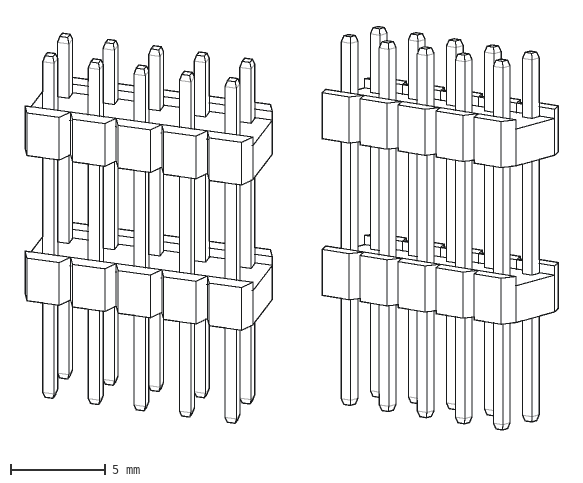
import cadquery as cq

columns = 5
rows = 2
pitch = 2.55

column_positions = [(i - (columns - 1) / 2) * pitch for i in range(columns)]
row_positions = [(j - (rows - 1) / 2) * pitch for j in range(rows)]

pin_length = 20.0
pin_width = 0.65
tip_width = 0.45
tip_height = 0.32

body_length = columns * pitch
body_width = 5.0
body_height = 2.5
floor_width = 3.35
floor_height = 2.0
block_face_length = 1.8
lower_body_z = 6.0
body_spacing = 8.5


def make_pin():
    """Upright square pin on the Z axis, tapered at both ends."""
    shaft = (
        cq.Workplane("XY")
        .workplane(offset=tip_height)
        .rect(pin_width, pin_width)
        .extrude(pin_length - 2 * tip_height)
    )
    lower_tip = (
        cq.Workplane("XY")
        .rect(tip_width, tip_width)
        .workplane(offset=tip_height)
        .rect(pin_width, pin_width)
        .loft(ruled=True)
    )
    upper_tip = lower_tip.mirror("XY").translate((0, 0, pin_length))
    return shaft.union(lower_tip).union(upper_tip)


def make_wall_block():
    """Trapezoidal block of the +Y wall, narrowing outward, centred on x = 0."""
    inner_y = floor_width / 2
    outer_y = body_width / 2
    return (
        cq.Workplane("XY")
        .moveTo(-pitch / 2, inner_y)
        .lineTo(pitch / 2, inner_y)
        .lineTo(block_face_length / 2, outer_y)
        .lineTo(-block_face_length / 2, outer_y)
        .close()
        .extrude(body_height)
    )


def make_body():
    """Floor slab with a taller row of trapezoidal blocks along each long side."""
    body = cq.Workplane("XY").rect(body_length, floor_width).extrude(floor_height)
    block = make_wall_block()
    for x in column_positions:
        rear_block = block.translate((x, 0, 0))
        front_block = rear_block.mirror("XZ")
        body = body.union(rear_block).union(front_block)
    return body


lower_body = make_body().translate((0, 0, lower_body_z))
upper_body = lower_body.translate((0, 0, body_spacing))
result = lower_body.union(upper_body)

pin = make_pin()
for x in column_positions:
    for y in row_positions:
        result = result.union(pin.translate((x, y, 0)))